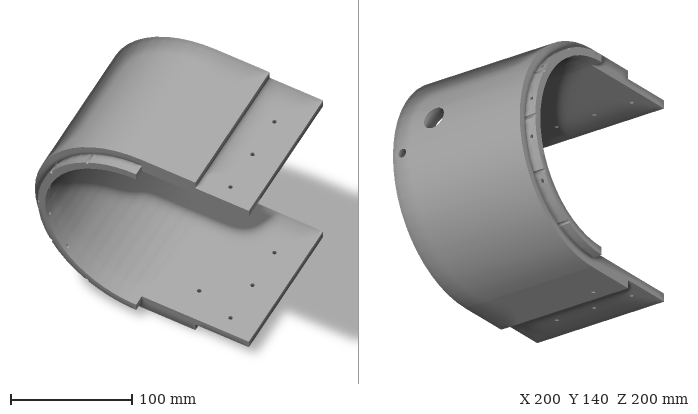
import cadquery as cq
import math

length = 200.0
outer_radius = 100.0
wall = 15.0
half_wall = wall / 2
depth = 140.0
lip_depth = 10.0
step_x = 150.0

inner_radius = outer_radius - wall
mid_radius = outer_radius - half_wall
lip_radius = 92.0
bend_x = outer_radius

rod_hole_diameter = 3.2
rod_hole_angles = (-60, -30, 0, 30, 60)

lip_hole_diameter = 3.0
lip_hole_pitch = 35.0
lip_hole_count = 4

arm_hole_diameter = 3.5
arm_hole_x = (step_x + length) / 2
arm_hole_pitch = 38.5
arm_hole_count = 3
arm_hole_back_gap = 38.5
lower_hole_x = 139.0
lower_hole_y = 37.5

port_diameter = 20.0
port_back_gap = 39.5
port_z = 25.0
pin_hole_diameter = 7.5
pin_hole_back_gap = 9.5


def half_disc(radius, y_start, y_end):
    """Half cylinder on the -X side of the bend axis."""
    return (
        cq.Workplane("XZ", origin=(bend_x, y_start, 0))
        .moveTo(0, radius)
        .threePointArc((-radius, 0), (0, -radius))
        .close()
        .extrude(y_start - y_end)
    )


def box_between(x_start, x_end, half_height):
    """Block over the body depth, symmetric about Z = 0."""
    return cq.Workplane("XY").box(
        x_end - x_start, depth - lip_depth, 2 * half_height, centered=(False, False, True)
    ).translate((x_start, lip_depth, 0))


def cylinder(diameter, start, direction, reach):
    """Round cutter from a start point along a direction."""
    return cq.Workplane(
        cq.Solid.makeCylinder(diameter / 2, reach, cq.Vector(*start), cq.Vector(*direction))
    )


def wall_cutter(diameter, y, z):
    """Cutter along X that passes through the curved wall only."""
    return cylinder(diameter, (0, y, z), (1, 0, 0), bend_x)


body = half_disc(outer_radius, lip_depth, depth)
body = body.union(box_between(bend_x, step_x, outer_radius))
body = body.union(box_between(step_x, length, mid_radius))
body = body.union(half_disc(lip_radius, 0, lip_depth))
body = body.cut(half_disc(inner_radius, 0, depth))
body = body.cut(box_between(bend_x, length, inner_radius))

for angle in rod_hole_angles:
    x = bend_x - lip_radius * math.cos(math.radians(angle))
    z = lip_radius * math.sin(math.radians(angle))
    body = body.cut(cylinder(rod_hole_diameter, (x, 0, z), (0, 1, 0), depth))

for index in range(lip_hole_count):
    z = (index - (lip_hole_count - 1) / 2) * lip_hole_pitch
    body = body.cut(wall_cutter(lip_hole_diameter, lip_depth / 2, z))

for index in range(arm_hole_count):
    y = depth - arm_hole_back_gap - index * arm_hole_pitch
    start = (arm_hole_x, y, -outer_radius)
    body = body.cut(cylinder(arm_hole_diameter, start, (0, 0, 1), 2 * outer_radius))

lower_start = (lower_hole_x, lower_hole_y, -outer_radius)
body = body.cut(cylinder(arm_hole_diameter, lower_start, (0, 0, 1), outer_radius))

body = body.cut(wall_cutter(port_diameter, depth - port_back_gap, port_z))
body = body.cut(wall_cutter(pin_hole_diameter, depth - pin_hole_back_gap, 0))

result = body